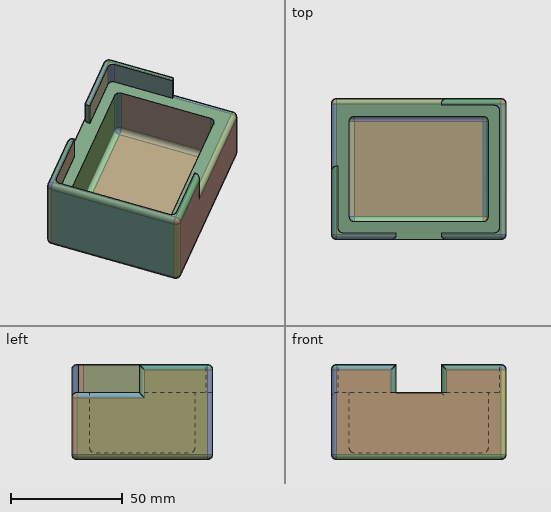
import cadquery as cq

length = 78.3
width = 63.1
height = 42.5
edge_radius = 2.35

rim_wall = 3.0
rim_height = 12.5
ledge_z = height - rim_height

cavity_wall = 8.0
floor_thickness = 3.0

gap_half_width = 10.1
side_opening_start_y = 1.3

selection_margin = 0.1


def box_between(low, high):
    """Axis-aligned box spanning two opposite corners."""
    size = [b - a for a, b in zip(low, high)]
    return cq.Workplane("XY").box(*size, centered=False).translate(low)


def pocket(wall, bottom_z, top_z):
    """Round-cornered cutting block inset from the outer sides by the wall."""
    block = cq.Workplane("XY").workplane(offset=bottom_z)
    block = block.rect(length - 2 * wall, width - 2 * wall).extrude(top_z - bottom_z)
    return block.edges("|Z").fillet(edge_radius)


def rim_openings():
    """Gap in the front rim and an L-shaped opening around the rear left corner."""
    front_gap = box_between(
        (-gap_half_width, -width / 2, ledge_z),
        (gap_half_width, 0, height),
    )
    corner_opening = box_between(
        (-length / 2, side_opening_start_y, ledge_z),
        (gap_half_width, width / 2, height),
    )
    return front_gap.union(corner_opening)


def round_outer_edges(body):
    """Round every edge on the outer sides, except the sill of the front gap."""
    inset = selection_margin
    inner = cq.selectors.BoxSelector(
        (-length / 2 + inset, -width / 2 + inset, inset),
        (length / 2 - inset, width / 2 - inset, height + inset),
    )
    sill = cq.selectors.BoxSelector(
        (-inset, -width / 2 - inset, ledge_z - inset),
        (inset, -width / 2 + inset, ledge_z + inset),
    )
    return body.edges(cq.selectors.InverseSelector(inner + sill)).fillet(edge_radius)


body = cq.Workplane("XY").box(length, width, height, centered=(True, True, False))
body = body.cut(rim_openings())
body = body.cut(pocket(rim_wall, ledge_z, height))
body = round_outer_edges(body)

cavity = pocket(cavity_wall, floor_thickness, ledge_z)
result = body.cut(cavity.faces("<Z").edges().fillet(edge_radius))